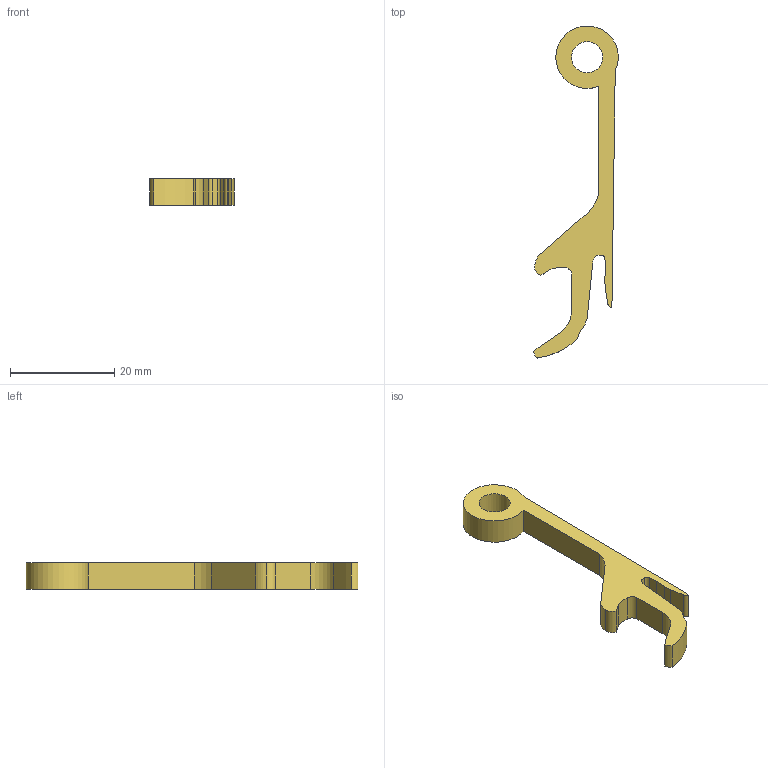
import cadquery as cq
import math

thickness = 5.0

eye_radius = 6.0
bore_diameter = 6.0

arm_left_x = 2.2
arm_right_x_at_eye = 5.4
arm_right_lean = math.radians(0.8)
arm_root_y = -2.6
arm_left_end_y = -26.3

hook_shoulder_start = (0.38, -29.6)
hook_shoulder_mid = (1.42, -28.2)
hook_back_end = (-9.3, -38.1)
hook_nose_top = (-10.08, -40.1)
hook_nose_bulge = (-9.83, -39.05)
hook_nose_side = (-9.72, -41.3)
hook_nose_bottom = (-8.87, -41.88)
hook_throat_start = (-7.2, -40.75)
hook_throat_mid = (-5.9, -40.42)
hook_throat_end = (-4.3, -40.32)

jaw_stem_left_x = -2.97
jaw_stem_top_y = -41.6
jaw_stem_bottom_y = -48.6
jaw_bend_end = (-5.3, -52.97)
jaw_inner_end = (-9.0, -55.45)
jaw_tip_left = (-10.24, -56.45)
jaw_tip_mid = (-10.02, -57.15)
jaw_tip_bottom = (-9.5, -57.71)
jaw_belly_mid = (-4.9, -56.25)
jaw_belly_end = (-1.82, -54.0)
jaw_heel = (-1.54, -53.0)
jaw_outer_bend_mid = (-0.38, -51.2)
jaw_outer_bend_end = (0.06, -49.85)

slot_left_top = (1.06, -39.5)
slot_roof_left = (1.85, -37.98)
slot_roof_right = (2.75, -37.98)
slot_right_top = (3.42, -38.65)

finger_neck_upper = (3.55, -40.4)
finger_neck_lower = (3.4, -42.75)
finger_taper_start = (3.48, -44.3)
finger_tip_left = (3.99, -47.2)
finger_tip_mid = (4.2, -47.75)
finger_tip = (4.61, -48.06)
finger_outer_end_y = -46.7


def arm_right_x(y):
    """X of the leaning right edge of the arm at a given Y."""
    return arm_right_x_at_eye + (y - arm_root_y) * math.tan(arm_right_lean)


def make_lever():
    outline = cq.Workplane("XY").moveTo(arm_left_x, arm_root_y)

    outline = outline.lineTo(arm_left_x, arm_left_end_y)
    outline = outline.threePointArc(hook_shoulder_mid, hook_shoulder_start)
    outline = outline.lineTo(*hook_back_end)

    outline = outline.threePointArc(hook_nose_bulge, hook_nose_top)
    outline = outline.threePointArc(hook_nose_side, hook_nose_bottom)
    outline = outline.lineTo(*hook_throat_start)
    outline = outline.threePointArc(hook_throat_mid, hook_throat_end)

    outline = outline.tangentArcPoint((jaw_stem_left_x, jaw_stem_top_y), relative=False)
    outline = outline.lineTo(jaw_stem_left_x, jaw_stem_bottom_y)
    outline = outline.tangentArcPoint(jaw_bend_end, relative=False)
    outline = outline.lineTo(*jaw_inner_end)

    outline = outline.lineTo(*jaw_tip_left)
    outline = outline.threePointArc(jaw_tip_mid, jaw_tip_bottom)
    outline = outline.threePointArc(jaw_belly_mid, jaw_belly_end)
    outline = outline.lineTo(*jaw_heel)
    outline = outline.threePointArc(jaw_outer_bend_mid, jaw_outer_bend_end)

    outline = outline.lineTo(*slot_left_top)
    outline = outline.tangentArcPoint(slot_roof_left, relative=False)
    outline = outline.lineTo(*slot_roof_right)
    outline = outline.tangentArcPoint(slot_right_top, relative=False)

    outline = outline.lineTo(*finger_neck_upper)
    outline = outline.lineTo(*finger_neck_lower)
    outline = outline.lineTo(*finger_taper_start)
    outline = outline.lineTo(*finger_tip_left)
    outline = outline.threePointArc(finger_tip_mid, finger_tip)
    outline = outline.lineTo(arm_right_x(finger_outer_end_y), finger_outer_end_y)
    outline = outline.lineTo(arm_right_x(arm_root_y), arm_root_y)
    return outline.close().extrude(thickness)


def make_eye():
    return cq.Workplane("XY").circle(eye_radius).extrude(thickness)


def make_bore():
    return cq.Workplane("XY").circle(bore_diameter / 2).extrude(thickness)


result = make_lever().union(make_eye()).cut(make_bore())